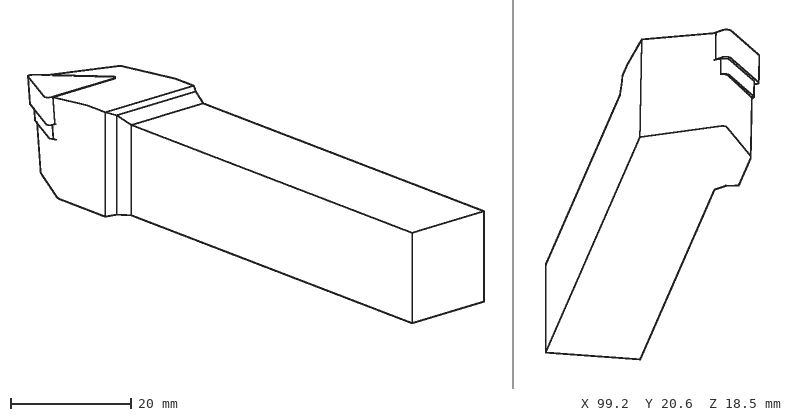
import cadquery as cq
import math

tool_length = 99.2
shank_size = 16.0
back_y = 13.0
shank_front_y = back_y - shank_size
head_height = 18.5
head_front_y = -6.6

head_end_x = 26.5
shoulder_lip_x = 27.0
shank_start_x = 28.9
shoulder_rise = 1.6

rake_angle = 6.0
rake_start_x = 21.9
tip_height = head_height - rake_start_x * math.tan(math.radians(rake_angle))

nose_tip_u = 1.0
nose_tip_y = -0.15
nose_back_u = 8.1
nose_front_u = 12.8
nose_radius = 0.8
nose_front_radius = 3.0
prism_reach = 119.1

corner_radius = 0.8
corner_half_spacing = 6.8
insert_thickness = 4.8
insert_proud = 0.1
shank_end_x = tool_length - insert_proud * math.sin(math.radians(rake_angle))
pad_thickness = 2.7
pad_inset = 0.5


def tilted_plane(depth):
    """Plane parallel to the sloping head top, a given depth below it."""
    plane = cq.Plane(origin=(0, 0, tip_height)).rotated((0, -rake_angle, 0))
    plane.origin = plane.toWorldCoords((0, 0, -depth))
    return plane


def triangle_prism(inset, depth, thickness):
    """Rounded equilateral prism pointing along -U, with its sides moved inward by inset."""
    half_side = corner_half_spacing + (corner_radius - inset) * math.sqrt(3)
    sharp_tip_u = 2 * inset - corner_radius
    base_u = sharp_tip_u + half_side * math.sqrt(3)
    outline = [(sharp_tip_u, 0), (base_u, -half_side), (base_u, half_side)]
    prism = cq.Workplane(tilted_plane(depth)).polyline(outline).close().extrude(-thickness)
    plane_normal = tilted_plane(0).zDir
    return prism.edges(cq.selectors.ParallelDirSelector(plane_normal)).fillet(corner_radius)


def side_profile():
    """Shank and raised head as seen across the tool."""
    outline = [
        (0, 0),
        (shank_end_x, 0),
        (shank_end_x, shank_size),
        (shank_start_x, shank_size),
        (shoulder_lip_x, shank_size + shoulder_rise),
        (head_end_x, head_height),
        (rake_start_x, head_height),
        (0, tip_height),
    ]
    plane = cq.Workplane("XZ", origin=(0, back_y, 0))
    return plane.polyline(outline).close().extrude(back_y - head_front_y)


def plan_profile():
    """Shank and widened head as seen from above."""
    outline = [
        (0, back_y),
        (shank_end_x, back_y),
        (shank_end_x, shank_front_y),
        (shank_start_x, shank_front_y),
        (shoulder_lip_x, shank_front_y - shoulder_rise),
        (head_end_x, head_front_y),
        (0, head_front_y),
    ]
    return cq.Workplane("XY").polyline(outline).close().extrude(head_height)


def nose_envelope(depth):
    """Long downward prism, square to the sloping top, that bounds the pointed nose below a depth."""
    plane = tilted_plane(depth)
    outline = [
        (nose_tip_u, nose_tip_y),
        (nose_front_u, head_front_y),
        (prism_reach, head_front_y),
        (prism_reach, back_y),
        (nose_back_u, back_y),
    ]
    prism = cq.Workplane(plane).polyline(outline).close().extrude(-prism_reach)
    nose_tip = plane.toWorldCoords((nose_tip_u, nose_tip_y, -prism_reach / 2))
    upright_edges = cq.selectors.ParallelDirSelector(plane.zDir)
    return prism.edges(upright_edges).edges(cq.NearestToPointSelector(nose_tip)).fillet(nose_radius)


def round_front_corner(envelope, depth):
    """Round the upright edge between the nose face and the head's front face."""
    plane = tilted_plane(depth)
    front_corner = plane.toWorldCoords((nose_front_u, head_front_y, -prism_reach / 2))
    upright_edges = cq.selectors.ParallelDirSelector(plane.zDir)
    corner_edge = envelope.edges(upright_edges).edges(cq.NearestToPointSelector(front_corner))
    return corner_edge.fillet(nose_front_radius)


def make_holder():
    """Shank and head with the insert pocket and the raised seat pad."""
    blank = side_profile().intersect(plan_profile())
    pad_depth = insert_thickness - insert_proud
    nose_depth = pad_depth + pad_thickness
    sharp_envelope = nose_envelope(-head_height)
    rounded_envelope = round_front_corner(nose_envelope(nose_depth), nose_depth)
    corner_waste = nose_envelope(nose_depth).cut(rounded_envelope)
    body = blank.intersect(sharp_envelope).cut(corner_waste)
    seat_pad = triangle_prism(pad_inset, pad_depth, pad_thickness)
    pocket = triangle_prism(0, -insert_proud, insert_thickness)
    return body.union(seat_pad).cut(pocket)


holder = make_holder()
insert = triangle_prism(0, -insert_proud, insert_thickness)

result = cq.Compound.makeCompound([holder.val(), insert.val()])